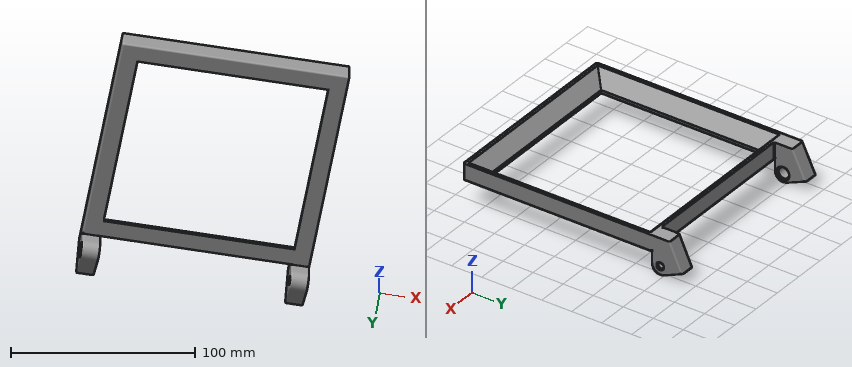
import cadquery as cq
import math

frame_side = 125.0
frame_height = 11.0
wall_top = 2.0
wall_bottom = 10.0
land_height = 2.0
edge_round = 1.0

arm_width = 10.0
knuckle_radius = 6.0
part_height = 24.0
axis_y = frame_side + knuckle_radius
axis_z = knuckle_radius - part_height
arm_top_end_y = 137.3
left_tip_y = 146.1
right_tip_y = 145.7
tip_z = -18.1
inner_corner_radius = 0.6

left_hole_diameter = 7.0
right_hole_diameter = 3.5
hole_chamfer = 0.7


def make_frame():
    """Square ring with a rounded outside and a funnel-shaped opening."""
    centre_y = frame_side / 2
    block = (
        cq.Workplane("XY", origin=(0, centre_y, -frame_height))
        .rect(frame_side, frame_side)
        .extrude(frame_height)
        .edges("(|Z and <Y) or (<Z and (not >Y))")
        .fillet(edge_round)
    )
    opening_bottom = frame_side - 2 * wall_bottom
    opening_top = frame_side - 2 * wall_top
    slope_height = frame_height - land_height
    land = (
        cq.Workplane("XY", origin=(0, centre_y, -frame_height))
        .rect(opening_bottom, opening_bottom)
        .extrude(land_height)
    )
    funnel = (
        cq.Workplane("XY", origin=(0, centre_y, -slope_height))
        .rect(opening_bottom, opening_bottom)
        .workplane(offset=slope_height)
        .rect(opening_top, opening_top)
        .loft(ruled=True)
    )
    return block.cut(land).cut(funnel)


def make_arm(left_x, tip_y):
    """Arm that drops behind the frame to a rounded knuckle."""
    tip_dy = tip_y - axis_y
    tip_dz = tip_z - axis_z
    tip_direction = math.atan2(tip_dz, tip_dy)
    tangent_angle = tip_direction - math.acos(knuckle_radius / math.hypot(tip_dy, tip_dz))
    arc_middle_angle = (tangent_angle - math.pi) / 2

    def on_knuckle(angle):
        return (axis_y + knuckle_radius * math.cos(angle), axis_z + knuckle_radius * math.sin(angle))

    hook = (
        cq.Workplane("YZ", origin=(left_x, 0, 0))
        .moveTo(frame_side, 0)
        .lineTo(arm_top_end_y, 0)
        .lineTo(tip_y, tip_z)
        .lineTo(*on_knuckle(tangent_angle))
        .threePointArc(on_knuckle(arc_middle_angle), (frame_side, axis_z))
        .close()
        .extrude(arm_width)
    )
    rounded_hook = hook.faces("<X or >X").edges("not >Z").fillet(edge_round)
    joint = (
        cq.Workplane("XY", origin=(left_x, frame_side, 0))
        .rect(arm_width, edge_round, centered=False)
        .extrude(edge_round - frame_height)
    )
    return rounded_hook.union(joint)


def make_inner_corner(side):
    """Small concave fillet between an arm and the rear of the frame."""
    corner_x = side * (frame_side / 2 - arm_width)
    size = inner_corner_radius
    return (
        cq.Workplane("XY", origin=(0, 0, -frame_height + edge_round))
        .moveTo(corner_x, frame_side)
        .lineTo(corner_x - side * size, frame_side)
        .radiusArc((corner_x, frame_side + size), side * size)
        .close()
        .extrude(frame_height - edge_round)
    )


def make_pivot_hole(left_x, diameter):
    """Cutter for a hole through an arm with both rims chamfered."""
    radius = diameter / 2
    rim_radius = radius + hole_chamfer
    section = [
        (0, 0),
        (rim_radius, 0),
        (radius, hole_chamfer),
        (radius, arm_width - hole_chamfer),
        (rim_radius, arm_width),
        (0, arm_width),
    ]
    section_plane = cq.Plane(origin=(left_x, axis_y, axis_z), xDir=(0, 1, 0), normal=(0, 0, -1))
    return cq.Workplane(section_plane).polyline(section).close().revolve(360, (0, 0), (0, 1))


result = make_frame()
for side, arm_left_x, arm_tip_y, hole_diameter in (
    (-1, -frame_side / 2, left_tip_y, left_hole_diameter),
    (1, frame_side / 2 - arm_width, right_tip_y, right_hole_diameter),
):
    result = result.union(make_arm(arm_left_x, arm_tip_y))
    result = result.union(make_inner_corner(side))
    result = result.cut(make_pivot_hole(arm_left_x, hole_diameter))